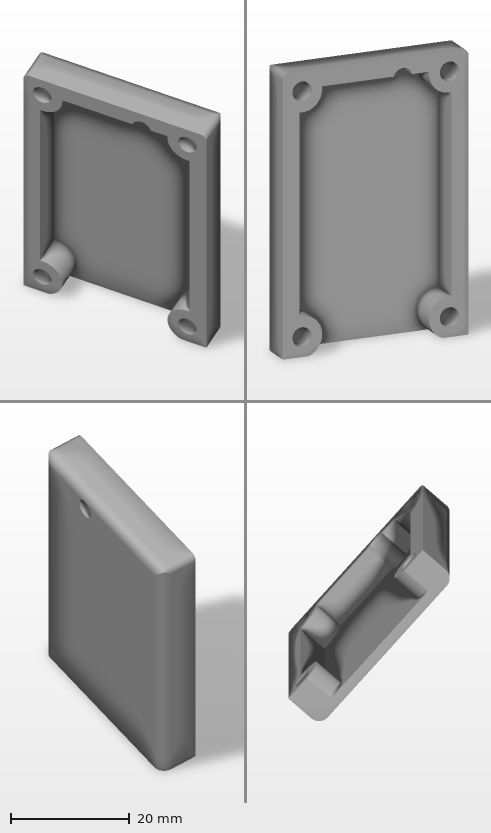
import cadquery as cq

width = 34.2
depth = 7.1
height = 50.5

wall = 3.15
pocket_depth = 5.35
back_edge_radius = 2.0
top_corner_radius = 1.1

boss_radius = 3.75
screw_hole_diameter = 3.5
screw_hole_depth = pocket_depth
boss_inset = 3.55
boss_x = width / 2 - boss_inset
boss_centers = [
    (side * boss_x, z)
    for side in (-1, 1)
    for z in (boss_inset, height - boss_inset)
]

port_diameter = 3.5
port_x = 5.0
port_z = height - 3.6


def front_plane():
    """Sketch plane on the open face; positive extrusion runs toward -Y."""
    return cq.Workplane("XZ")


def upright_block():
    return front_plane().rect(width, height).extrude(-depth).translate((0, 0, height / 2))


def outer_body():
    """Block with its back edges rounded on three sides and its top corners rounded."""
    softened = upright_block().faces(">Y").edges("not <Z").fillet(back_edge_radius)
    rounded = upright_block().faces(">Z").edges("|Y").fillet(top_corner_radius)
    return softened.intersect(rounded)


def pocket():
    """Cavity that opens through the bottom and leaves the corner bosses standing."""
    pocket_height = height - wall
    cavity = (
        front_plane()
        .center(0, pocket_height / 2)
        .rect(width - 2 * wall, pocket_height)
        .extrude(-pocket_depth)
    )
    bosses = front_plane().pushPoints(boss_centers).circle(boss_radius).extrude(-pocket_depth)
    return cavity.cut(bosses)


def screw_holes():
    return (
        front_plane()
        .pushPoints(boss_centers)
        .circle(screw_hole_diameter / 2)
        .extrude(-screw_hole_depth)
    )


def port():
    return front_plane().center(port_x, port_z).circle(port_diameter / 2).extrude(-depth)


result = (
    outer_body()
    .cut(pocket())
    .cut(screw_holes())
    .cut(port())
    .translate((0, -depth / 2, -height / 2))
)